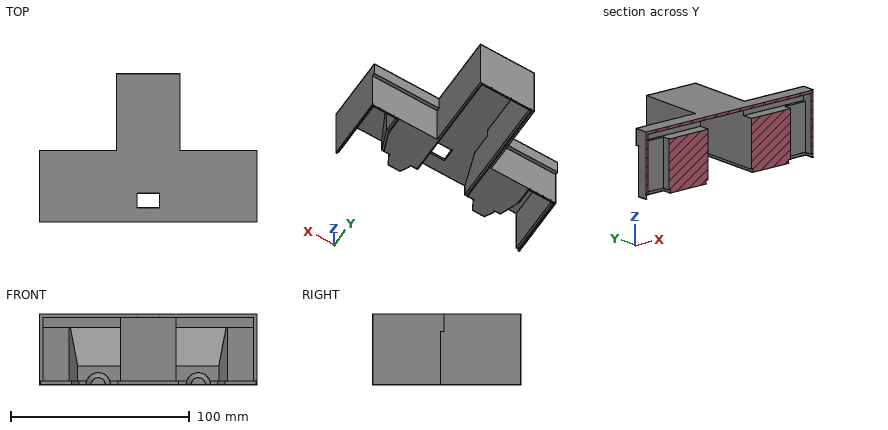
import cadquery as cq

length = 121.8
depth = 83.0
height = 39.7
bar_depth = 40.0
stem_width = 35.8
wall = 2.0
stem_wall = 2.3
mid_x = length / 2

jog_outer_z = 29.7
jog_inner_z = 32.1

recess_depth = 1.2
recess_height = 2.2

block_front_y = 14.1
block_front_height = 10.6
block_slope_end_y = 25.0
block_taper_end_y = 26.7
block_back_x = 16.7
block_front_x = 21.4

nose_x = 32.9
nose_base_radius = 6.8
nose_tip_radius = 4.0
nose_length = 5.1

window_length = 12.4
window_width = 8.0
window_front_y = 8.0

roof_z = height - wall
lower_back_y = bar_depth - wall
lower_inner_y = lower_back_y - wall
stem_inner_x = mid_x - stem_width / 2 + stem_wall
overrun = 6.1


def box(x0, x1, y0, y1, z0, z1):
    return cq.Workplane("XY").box(x1 - x0, y1 - y0, z1 - z0, centered=False).translate((x0, y0, z0))


def mirrored(solid):
    """Return the solid together with its mirror image about the middle of the length."""
    twin = solid.mirror("YZ", (mid_x, 0, 0))
    return solid.union(twin)


def make_outer():
    upper = box(0, length, 0, bar_depth, jog_outer_z, height)
    lower = box(0, length, 0, lower_back_y, 0, jog_outer_z)
    stem_x = mid_x - stem_width / 2
    stem = box(stem_x, length - stem_x, 0, depth, 0, height)
    return upper.union(lower).union(stem)


def make_cavity():
    lower = box(wall, length - wall, -overrun, lower_inner_y, -overrun, jog_inner_z)
    upper = box(wall, length - wall, -overrun, lower_back_y, jog_inner_z, roof_z)
    stem = box(stem_inner_x, length - stem_inner_x, 0, depth - wall, -overrun, roof_z)
    return lower.union(upper).union(stem)


def make_block():
    """Block whose top slopes down and whose outer side tapers in toward the front."""
    plan = [
        (block_back_x, lower_inner_y),
        (block_back_x, block_taper_end_y),
        (block_front_x, block_front_y),
        (stem_inner_x, block_front_y),
        (stem_inner_x, lower_inner_y),
    ]
    side = [
        (block_front_y, 0),
        (block_front_y, block_front_height),
        (block_slope_end_y, jog_inner_z),
        (lower_inner_y, jog_inner_z),
        (lower_inner_y, 0),
    ]
    plan_prism = cq.Workplane("XY").polyline(plan).close().extrude(height)
    side_prism = cq.Workplane("YZ").polyline(side).close().extrude(length)
    return plan_prism.intersect(side_prism)


def make_bottom_recess():
    """Floor outline between walls and blocks, widened into the bottom of each."""
    left = [
        (wall, -overrun),
        (wall, lower_inner_y),
        (block_back_x, lower_inner_y),
        (block_back_x, block_taper_end_y),
        (block_front_x, block_front_y),
        (stem_inner_x, block_front_y),
        (stem_inner_x, depth - wall),
    ]
    right = [(length - x, y) for x, y in reversed(left)]
    outline = cq.Workplane("XY").polyline(left + right).close()
    return outline.offset2D(recess_depth, "intersection").extrude(recess_height)


def make_nose():
    """Half cone along Y, rooted just behind the recessed front of the block."""
    tip_y = block_front_y - nose_length
    root_y = block_front_y + recess_depth
    profile = [
        (0, tip_y),
        (nose_tip_radius, tip_y),
        (nose_base_radius, block_front_y),
        (nose_base_radius, root_y),
        (0, root_y),
    ]
    cone = cq.Workplane("XY").polyline(profile).close().revolve(360, (0, 0), (0, 1))
    upper_half = box(-length, length, 0, depth, 0, height)
    return cone.intersect(upper_half).translate((nose_x, 0, 0))


window_x = mid_x - window_length / 2
window = box(
    window_x, window_x + window_length,
    window_front_y, window_front_y + window_width,
    roof_z - overrun, height + overrun,
)

shell = make_outer().cut(make_cavity())
shell = shell.union(mirrored(make_block()))
shell = shell.cut(make_bottom_recess()).cut(window)
result = shell.union(mirrored(make_nose()))